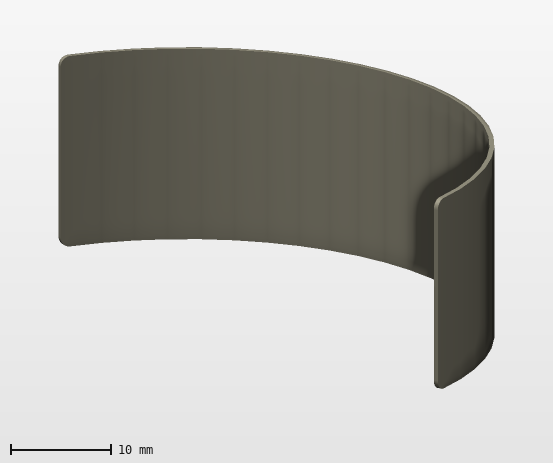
import cadquery as cq
import math

half_span = 29.65
outer_radius = 30.7
wall = 0.5
height = 20.0
corner_radius = 1.0

inner_radius = outer_radius - wall
end_angle = math.acos(half_span / outer_radius)


def polar(radius, angle):
    """Point on a circle about the cylinder axis."""
    return (radius * math.cos(angle), radius * math.sin(angle))


left_angle = math.pi - end_angle
right_angle = end_angle
band = (
    cq.Workplane("XY")
    .moveTo(*polar(outer_radius, right_angle))
    .threePointArc((0, outer_radius), polar(outer_radius, left_angle))
    .lineTo(*polar(inner_radius, left_angle))
    .threePointArc((0, inner_radius), polar(inner_radius, right_angle))
    .close()
    .extrude(height)
)

result = band.edges("%LINE").edges("not |Z").fillet(corner_radius)